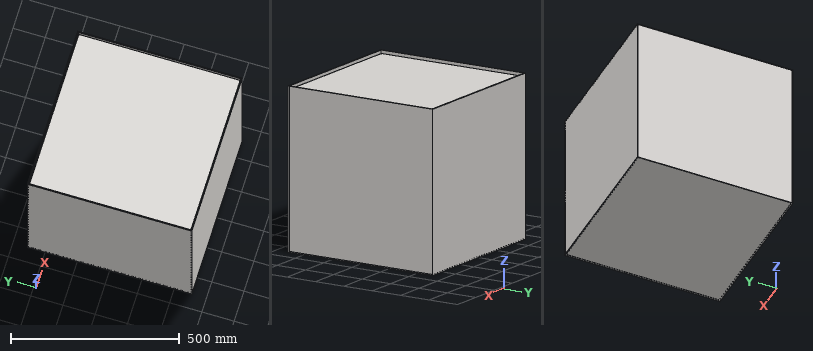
import cadquery as cq

box_size = 510.0
wall = 3.25
floor_thickness = wall
cavity_width = box_size - 2 * wall
cavity_depth = box_size - floor_thickness

block_width = 500.0
rim_above_block = 10.0
block_height = cavity_depth - rim_above_block


def square_prism(width, height, base_z):
    """Upright square prism centred on the Z axis, standing at base_z."""
    return cq.Workplane("XY").workplane(offset=base_z).rect(width, width).extrude(height)


def make_box():
    """Thin-walled cube with a square cavity open at the top."""
    cavity = square_prism(cavity_width, cavity_depth, floor_thickness)
    return square_prism(box_size, box_size, 0).cut(cavity)


def make_block():
    """Solid block centred in the cavity, with an even gap to all four walls."""
    return square_prism(block_width, block_height, floor_thickness)


box = make_box()
block = make_block()

result = cq.Compound.makeCompound([box.val(), block.val()])